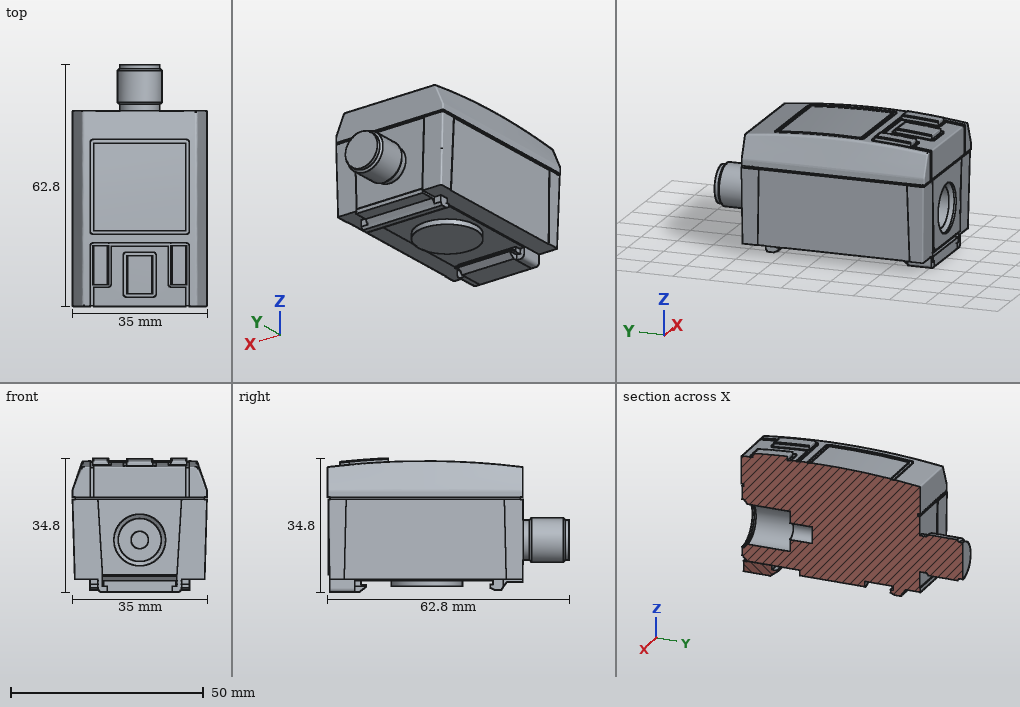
import cadquery as cq
import math

overall_length = 62.8
overall_width = 35.0
overall_height = 34.85
overlap = 0.6
lid_half_width = overall_width / 2

base_bottom_z = 3.3
base_top_z = 24.1
base_top_half_width = lid_half_width
base_bottom_half_width = 16.9
base_top_front_y = 0.25
base_bottom_front_y = 0.6
base_top_rear_y = 50.9
base_bottom_rear_y = 50.8
corner_radius = 0.4

panel_recess = 0.2
side_recess_top = (4.9, 46.0)
side_recess_bottom = (4.4, 46.5)
front_panel_bottom_z = 4.5
front_panel_top_half = 10.85
front_panel_bottom_half = 9.7
rear_recess_top_half = 11.3
rear_recess_bottom_half = 10.7
panel_embed = 3.8

lid_bottom_z = 24.7
lid_band_top_z = 26.5
lid_top_half_width = 14.9
lid_rear_y = 50.8
lid_mid_y = lid_rear_y / 2
lid_apex_z = 34.1
lid_crown = 1.6
lid_edge_radius = 0.75
lid_shoulder_radius = 1.45
edge_margin = 0.6
seam_inset = 0.7
crown_radius = (lid_mid_y ** 2 + lid_crown ** 2) / (2 * lid_crown)

groove_depth = 0.2
groove_outer_x = 12.9
groove_inner_x = 12.0
frame_front_y, frame_rear_y = 18.8, 43.4
window_front_y, window_rear_y = 19.65, 42.45
pocket_radius = 0.8
keypad_rear_y = 16.5
keypad_groove_width = 0.8
side_pocket_inner_x = 7.4
side_pocket_front_y = 5.0
side_button_x = (8.1, 12.25)
side_button_y = (5.7, 15.8)
button_edge_radius = 0.3
centre_pocket_half_width = 4.3
centre_pocket_y = (2.45, 14.15)
centre_button_half_width = 3.4
centre_button_y = (3.25, 13.2)

axis_z = 13.6
neck_radius = 5.2
neck_embed = 3.15
collar_radius = 5.85
collar_front_y = 52.5
collar_rear_y = 61.8
collar_chamfer = 0.55
port_mouth_radius = 6.7
port_mouth_depth = 0.55
port_bore_radius = 5.6
port_cone_end = 1.6
port_depth = 13.8
inlet_radius = 2.25
inlet_depth = 6.3

plate_z = 3.0
disc_radius = 9.3
disc_y = 25.9
disc_z = 1.5
hook_half_width = 12.95
hook_front_y, hook_rear_y = 43.05, 45.75
hook_heel_y = (43.5, 45.2)
hook_tip_y = 42.3
hook_tip_z = (1.1, 2.0)
hook_bottom_z = 0.55
hook_rear_z = 1.4
foot_z = 2.65
foot_front_y = 46.7
guide_half_width = 10.85
guide_inner_half = 9.7
guide_rear_y = 7.15
guide_radius = 1.05
lip_height = 1.6

latch_half_width = 9.35
latch_foot_half_width = 8.4
latch_rear_y = 8.8
latch_nose_y = 10.2
latch_nose_z = (1.45, 1.95)
latch_heel_y = 8.3


def block(x0, x1, y0, y1, z0, z1):
    return cq.Workplane("XY").box(x1 - x0, y1 - y0, z1 - z0, centered=False).translate((x0, y0, z0))


def side_profile(points, half_width):
    """Extrude a Y-Z outline symmetrically across X."""
    return cq.Workplane("YZ").polyline(points).close().extrude(half_width, both=True)


def rounded_block(x0, x1, y0, y1, radius):
    """Upright block through the lid's crown with rounded corners in plan."""
    return block(x0, x1, y0, y1, lid_band_top_z, overall_height + overlap).edges("|Z").fillet(radius)


def crown_height(y):
    """Height of the crowned lid top at a given Y."""
    return lid_apex_z - crown_radius + math.sqrt(crown_radius ** 2 - (y - lid_mid_y) ** 2)


def below_crown(offset):
    """Everything under the crown surface after shifting it vertically by offset."""
    end_z = crown_height(0) + offset
    return (cq.Workplane("YZ").moveTo(0, lid_bottom_z).lineTo(0, end_z)
            .threePointArc((lid_mid_y, lid_apex_z + offset), (lid_rear_y, end_z))
            .lineTo(lid_rear_y, lid_bottom_z).close().extrude(lid_half_width, both=True))


def make_base():
    def outline(half, front, rear):
        return [(-half, front), (half, front), (half, rear), (-half, rear)]

    base = (cq.Workplane("XY", origin=(0, 0, base_bottom_z))
            .polyline(outline(base_bottom_half_width, base_bottom_front_y, base_bottom_rear_y)).close()
            .workplane(offset=base_top_z - base_bottom_z)
            .polyline(outline(base_top_half_width, base_top_front_y, base_top_rear_y)).close()
            .loft(ruled=True))
    return base.edges("not(#Z)").fillet(corner_radius)


def make_side_recess(side):
    """Thin drafted slab that sinks one side wall between its two corner strips."""
    draft = base_top_half_width - base_bottom_half_width
    outer = base_top_half_width + overlap
    panel = (cq.Workplane("YZ").polyline([
        (side_recess_bottom[0], base_bottom_z), (side_recess_bottom[1], base_bottom_z),
        (side_recess_top[1], base_top_z), (side_recess_top[0], base_top_z)]).close().extrude(side * outer))
    wall_x = base_bottom_half_width - panel_recess
    slab = (cq.Workplane("XZ").polyline([
        (side * wall_x, base_bottom_z), (side * outer, base_bottom_z),
        (side * outer, base_top_z), (side * (wall_x + draft), base_top_z)]).close()
        .extrude(-overall_length))
    return panel.intersect(slab)


def make_rear_recess():
    return (cq.Workplane("XZ", origin=(0, base_bottom_rear_y - panel_recess, 0)).polyline([
        (-rear_recess_bottom_half, base_bottom_z), (rear_recess_bottom_half, base_bottom_z),
        (rear_recess_top_half, base_top_z), (-rear_recess_top_half, base_top_z)]).close().extrude(-overlap))


def make_front_panel():
    """Upright panel, narrowing downwards, standing proud of the drafted front wall."""
    return (cq.Workplane("XZ", origin=(0, base_top_front_y, 0)).polyline([
        (-front_panel_bottom_half, front_panel_bottom_z), (front_panel_bottom_half, front_panel_bottom_z),
        (front_panel_top_half, base_top_z), (-front_panel_top_half, base_top_z)]).close()
        .extrude(-panel_embed))


def make_latch_clearance():
    """Opening under the front panel, with a 45 degree roof down to the plate."""
    rise = front_panel_bottom_z - plate_z
    return side_profile([
        (-overlap, plate_z), (base_top_front_y + rise, plate_z),
        (base_top_front_y, front_panel_bottom_z), (-overlap, front_panel_bottom_z)], guide_inner_half)


def edge_zone(z0, z1):
    """Selector for lid edges whose centres lie between two heights."""
    reach = overall_length
    return cq.selectors.BoxSelector((-reach, -reach, z0), (reach, reach, z1))


def make_lid():
    """Upright band, then ruled flanks rising to straight edges of the crowned top."""
    band = block(-lid_half_width, lid_half_width, 0, lid_rear_y, lid_bottom_z, lid_band_top_z)

    def crown_edge(x):
        return cq.Edge.makeThreePointArc(
            cq.Vector(x, 0, crown_height(0)), cq.Vector(x, lid_mid_y, lid_apex_z),
            cq.Vector(x, lid_rear_y, crown_height(lid_rear_y)))

    def band_edge(x):
        return cq.Edge.makeLine(cq.Vector(x, 0, lid_band_top_z), cq.Vector(x, lid_rear_y, lid_band_top_z))

    def end_face(y):
        corners = [(-lid_half_width, lid_band_top_z), (lid_half_width, lid_band_top_z),
                   (lid_top_half_width, crown_height(y)), (-lid_top_half_width, crown_height(y))]
        wire = cq.Wire.makePolygon([cq.Vector(x, y, z) for x, z in corners], close=True)
        return cq.Face.makeFromWires(wire)

    rails = [band_edge(-lid_half_width), crown_edge(-lid_top_half_width),
             crown_edge(lid_top_half_width), band_edge(lid_half_width)]
    faces = [cq.Face.makeRuledSurface(rails[i], rails[(i + 1) % len(rails)]) for i in range(len(rails))]
    faces += [end_face(0), end_face(lid_rear_y)]
    crown = cq.Solid.makeSolid(cq.Shell.makeShell(faces)).fix()
    lid = band.union(cq.Workplane(crown))
    for z, radius in ((lid_band_top_z, lid_shoulder_radius), (lid_apex_z, lid_edge_radius)):
        lid = lid.edges(edge_zone(z - edge_margin, z + edge_margin)).edges("not(#Y)").fillet(radius)
    end_outline = edge_zone(lid_bottom_z + edge_margin, overall_height)
    return lid.faces("<Y or >Y").edges(end_outline).fillet(corner_radius)


def make_seam():
    """Inset strip between the base and the lid."""
    half = base_top_half_width - seam_inset
    return block(-half, half, seam_inset, lid_rear_y - seam_inset,
                 base_top_z - overlap, lid_bottom_z + overlap)


def make_display_groove():
    frame = rounded_block(-groove_outer_x, groove_outer_x, frame_front_y, frame_rear_y, pocket_radius)
    window = block(-groove_inner_x, groove_inner_x, window_front_y, window_rear_y,
                   lid_bottom_z, overall_height + overlap)
    return frame.cut(window).cut(below_crown(-groove_depth))


def make_keypad_groove():
    """Button pockets plus the channels that join them and run over the front edge."""
    top = overall_height + overlap
    groove = block(-side_pocket_inner_x - overlap, side_pocket_inner_x + overlap,
                   keypad_rear_y - keypad_groove_width, keypad_rear_y, lid_bottom_z, top)
    groove = groove.union(rounded_block(-centre_pocket_half_width, centre_pocket_half_width,
                                        *centre_pocket_y, pocket_radius))
    for side in (-1, 1):
        pocket_x = sorted((side * side_pocket_inner_x, side * groove_outer_x))
        channel_x = sorted((side * groove_inner_x, side * groove_outer_x))
        groove = groove.union(rounded_block(*pocket_x, side_pocket_front_y, keypad_rear_y, pocket_radius))
        channel_rear_y = side_pocket_front_y + pocket_radius
        groove = groove.union(block(*channel_x, -overlap, channel_rear_y, lid_bottom_z, top))
    floor = below_crown(-groove_depth).intersect(
        block(-lid_half_width, lid_half_width, groove_depth, lid_rear_y, lid_bottom_z, top))
    return groove.cut(floor)


def make_button(x0, x1, y0, y1):
    """Key whose top follows the crown at a constant rise."""
    rise = overall_height - crown_height(side_button_y[1] - button_edge_radius)
    button = block(x0, x1, y0, y1, lid_band_top_z, overall_height + overlap).intersect(below_crown(rise))
    return button.faces(">Z").edges().fillet(button_edge_radius)


def make_connector():
    return (cq.Workplane("XY").polyline([
        (0, lid_rear_y - neck_embed), (neck_radius, lid_rear_y - neck_embed), (neck_radius, collar_front_y),
        (collar_radius, collar_front_y + collar_chamfer), (collar_radius, collar_rear_y - collar_chamfer),
        (neck_radius, collar_rear_y), (neck_radius, overall_length), (0, overall_length)]).close()
        .revolve(360, (0, 0, 0), (0, 1, 0)).translate((0, 0, axis_z)))


def make_port():
    return (cq.Workplane("XY").polyline([
        (0, -overlap), (port_mouth_radius, -overlap),
        (port_mouth_radius, base_top_front_y + port_mouth_depth),
        (port_bore_radius, base_top_front_y + port_cone_end), (port_bore_radius, port_depth),
        (inlet_radius, port_depth), (inlet_radius, port_depth + inlet_depth),
        (0, port_depth + inlet_depth)]).close()
        .revolve(360, (0, 0, 0), (0, 1, 0)).translate((0, 0, axis_z)))


def make_underside():
    embed_z = base_bottom_z + overlap
    plate = block(-guide_half_width, guide_half_width, base_bottom_front_y + overlap, hook_rear_y,
                  plate_z, embed_z)
    disc = (cq.Workplane("XY", origin=(0, disc_y, disc_z)).circle(disc_radius).extrude(embed_z - disc_z))
    hook = side_profile([
        (hook_rear_y, embed_z), (hook_rear_y, hook_rear_z),
        (hook_heel_y[1], hook_bottom_z), (hook_heel_y[0], hook_bottom_z),
        (hook_tip_y, hook_tip_z[0]), (hook_tip_y, hook_tip_z[1]),
        (hook_front_y, hook_tip_z[1]), (hook_front_y, embed_z)], hook_half_width)
    foot = side_profile([
        (base_bottom_rear_y, embed_z), (base_bottom_rear_y, foot_z), (foot_front_y, foot_z),
        (hook_rear_y, hook_rear_z), (hook_rear_y, embed_z)], guide_half_width)
    return plate.union(disc).union(hook).union(foot)


def make_guides():
    """Pair of L-shaped guides that carry the latch."""
    guides = block(-guide_half_width, guide_half_width, base_bottom_front_y, guide_rear_y,
                   0, base_bottom_z + overlap)
    guides = guides.edges("|Y and <Z").fillet(guide_radius)
    channel = block(-guide_inner_half, guide_inner_half, 0, guide_rear_y, lip_height, plate_z)
    slot = block(-latch_foot_half_width, latch_foot_half_width, 0, guide_rear_y, 0, lip_height)
    return guides.cut(channel).cut(slot)


def make_housing():
    housing = make_base()
    for side in (-1, 1):
        housing = housing.cut(make_side_recess(side))
    housing = housing.cut(make_rear_recess()).union(make_front_panel())
    lid = make_lid().cut(make_display_groove()).cut(make_keypad_groove())
    for side in (-1, 1):
        lid = lid.union(make_button(*sorted(side * x for x in side_button_x), *side_button_y))
    lid = lid.union(make_button(-centre_button_half_width, centre_button_half_width, *centre_button_y))
    housing = housing.union(make_seam()).union(lid).union(make_connector()).cut(make_port())
    return housing.union(make_underside()).union(make_guides()).cut(make_latch_clearance())


def make_latch():
    front = base_bottom_front_y
    latch = side_profile([
        (front, 0), (latch_heel_y, 0), (latch_nose_y, latch_nose_z[0]), (latch_nose_y, latch_nose_z[1]),
        (latch_rear_y, latch_nose_z[1]), (latch_rear_y, plate_z), (front, plate_z)], latch_half_width)
    for side in (-1, 1):
        notch_x = sorted((side * latch_foot_half_width, side * guide_half_width))
        latch = latch.cut(block(*notch_x, 0, latch_nose_y, 0, lip_height))
    return latch


housing = make_housing()
latch = make_latch()
result = cq.Compound.makeCompound([housing.solids().val(), latch.solids().val()])